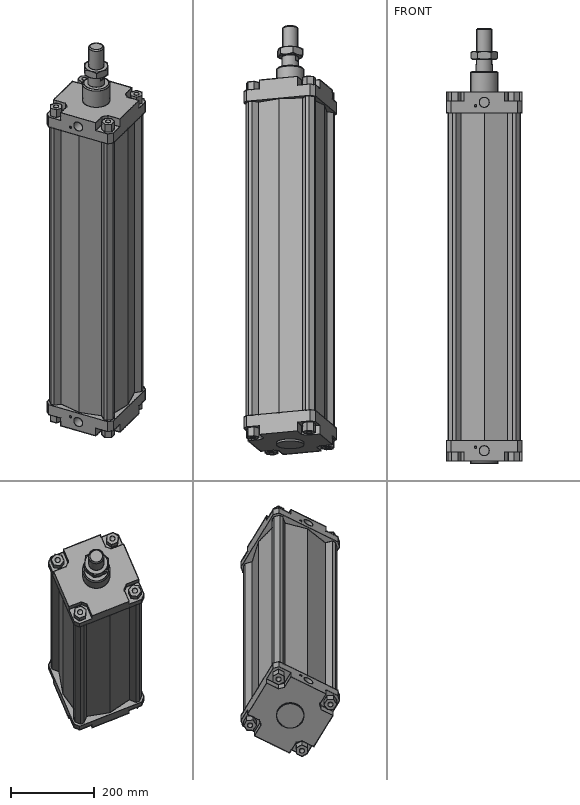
import cadquery as cq
import math

total_height = 1037.0
spigot_height = 5.0
cap_height = 50.0
front_cap_top = 886.0
rear_cap_top = spigot_height + cap_height
front_cap_bottom = front_cap_top - cap_height
collar_top = 934.0

cap_width = 180.0
cap_half = cap_width / 2
corner_chamfer = 10.0
collar_diameter = 65.0
collar_chamfer = 3.0

pocket_depth = 22.0
pocket_inner = 48.0
pocket_chamfer = 10.0
bolt_offset = 70.0
bolt_across_flats = 27.0
centre_hole_diameter = 12.0
centre_hole_depth = 4.0

port_diameter = 24.0
port_depth = 31.0
port_inset = 25.0
screw_hole_diameter = 5.0
screw_hole_depth = 10.0
screw_hole_inset = 33.0
screw_hole_x = -21.0

tube_half = 86.0
post_edge = 67.0
recess_edge = 55.0
recess_depth = post_edge - recess_edge

rod_diameter = 40.0
thread_diameter = 36.0
thread_length = 74.0
thread_chamfer = 3.0
flats_length = 12.0
flats_width = 36.0
flats_turn = 6.3

nut_height = 19.0
nut_across_flats = 55.0
nut_chamfer_angle = math.radians(30)
nut_blank_margin = 5.0


def across_corners(across_flats):
    """Corner-to-corner size of a regular hexagon."""
    return across_flats / math.cos(math.pi / 6)


def make_tube():
    """Extruded tube with 45 degree slopes beside each ridge."""
    side = [
        (-(tube_half - corner_chamfer), -tube_half),
        (-post_edge, -tube_half),
        (-recess_edge, -tube_half + recess_depth),
        (0, -tube_half),
        (recess_edge, -tube_half + recess_depth),
        (post_edge, -tube_half),
        (tube_half - corner_chamfer, -tube_half),
    ]
    outline = list(side)
    for _ in range(3):
        side = [(-y, x) for x, y in side]
        outline += side
    return (
        cq.Workplane("XY")
        .workplane(offset=rear_cap_top)
        .polyline(outline)
        .close()
        .extrude(front_cap_bottom - rear_cap_top)
    )


def make_pocket(base):
    """Cutter for the corner pocket on the +X +Y corner."""
    size = 2 * (cap_half - pocket_inner)
    return (
        cq.Workplane("XY")
        .box(size, size, pocket_depth, centered=(True, True, False))
        .edges("|Z")
        .chamfer(pocket_chamfer)
        .translate((cap_half, cap_half, base))
    )


def make_bolt_head(base):
    """Hexagonal bolt head on the +X +Y corner, with a conical centre hole in its top."""
    head = (
        cq.Workplane("XY")
        .polygon(6, across_corners(bolt_across_flats))
        .extrude(pocket_depth)
    )
    hole = cq.Solid.makeCone(
        0, centre_hole_diameter / 2, centre_hole_depth, cq.Vector(0, 0, pocket_depth - centre_hole_depth)
    )
    return head.cut(cq.Workplane(hole)).translate((bolt_offset, bolt_offset, base))


def make_front_hole(x, z, diameter, depth):
    """Cutter for a blind round hole in the -Y face of a cap."""
    return cq.Workplane("XZ", origin=(x, -cap_half, z)).circle(diameter / 2).extrude(-depth)


def make_front_cap():
    """Cap with its outer face at front_cap_top; the rear cap is its mirror image."""
    cap = (
        cq.Workplane("XY")
        .box(cap_width, cap_width, cap_height, centered=(True, True, False))
        .edges("|Z")
        .chamfer(corner_chamfer)
        .translate((0, 0, front_cap_bottom))
    )
    pocket_floor = front_cap_top - pocket_depth
    pocket = make_pocket(pocket_floor)
    bolt_head = make_bolt_head(pocket_floor)
    for corner in range(4):
        turn = 90 * corner
        cap = cap.cut(pocket.rotate((0, 0, 0), (0, 0, 1), turn))
        cap = cap.union(bolt_head.rotate((0, 0, 0), (0, 0, 1), turn))
    port = make_front_hole(0, front_cap_top - port_inset, port_diameter, port_depth)
    screw_hole = make_front_hole(
        screw_hole_x, front_cap_top - screw_hole_inset, screw_hole_diameter, screw_hole_depth
    )
    return cap.cut(port).cut(screw_hole)


def make_housing():
    """Tube, both caps, the rod collar and the rear spigot, bored for the rod."""
    front_cap = make_front_cap()
    mid_height = (front_cap_top + spigot_height) / 2
    rear_cap = front_cap.mirror("XY", (0, 0, mid_height))
    collar = (
        cq.Workplane("XY")
        .workplane(offset=front_cap_top)
        .circle(collar_diameter / 2)
        .extrude(collar_top - front_cap_top)
        .faces(">Z")
        .chamfer(collar_chamfer)
    )
    spigot = cq.Workplane("XY").circle(collar_diameter / 2).extrude(spigot_height)
    rod_bore = (
        cq.Workplane("XY")
        .workplane(offset=front_cap_bottom)
        .circle(rod_diameter / 2)
        .extrude(collar_top - front_cap_bottom)
    )
    return make_tube().union(front_cap).union(rear_cap).union(collar).union(spigot).cut(rod_bore)


def make_rod():
    """Rod with a threaded end and two wrench flats just below the thread."""
    thread_start = total_height - thread_length
    flats_start = thread_start - flats_length
    shank = (
        cq.Workplane("XY")
        .workplane(offset=front_cap_bottom)
        .circle(rod_diameter / 2)
        .extrude(flats_start - front_cap_bottom)
    )
    flats_bar = (
        cq.Workplane("XY")
        .rect(flats_width, rod_diameter)
        .extrude(flats_length)
        .rotate((0, 0, 0), (0, 0, 1), -flats_turn)
    )
    flatted_section = (
        cq.Workplane("XY")
        .circle(rod_diameter / 2)
        .extrude(flats_length)
        .intersect(flats_bar)
        .translate((0, 0, flats_start))
    )
    thread = (
        cq.Workplane("XY")
        .workplane(offset=thread_start)
        .circle(thread_diameter / 2)
        .extrude(thread_length)
        .faces(">Z")
        .chamfer(thread_chamfer)
    )
    return shank.union(flatted_section).union(thread)


def make_nut():
    """Hexagonal lock nut with turned-down corners, seated at the foot of the thread."""
    corners = across_corners(nut_across_flats)
    blank_radius = corners / 2 + nut_blank_margin
    blank_inset = blank_radius - nut_across_flats / 2
    blank = (
        cq.Workplane("XY")
        .circle(blank_radius)
        .extrude(nut_height)
        .faces("<Z or >Z")
        .chamfer(blank_inset * math.tan(nut_chamfer_angle), blank_inset)
    )
    return (
        cq.Workplane("XY")
        .polygon(6, corners)
        .extrude(nut_height)
        .intersect(blank)
        .cut(cq.Workplane("XY").circle(thread_diameter / 2).extrude(nut_height))
        .translate((0, 0, total_height - thread_length))
    )


housing = make_housing()
rod = make_rod()
nut = make_nut()

result = cq.Compound.makeCompound([housing.val(), rod.val(), nut.val()])